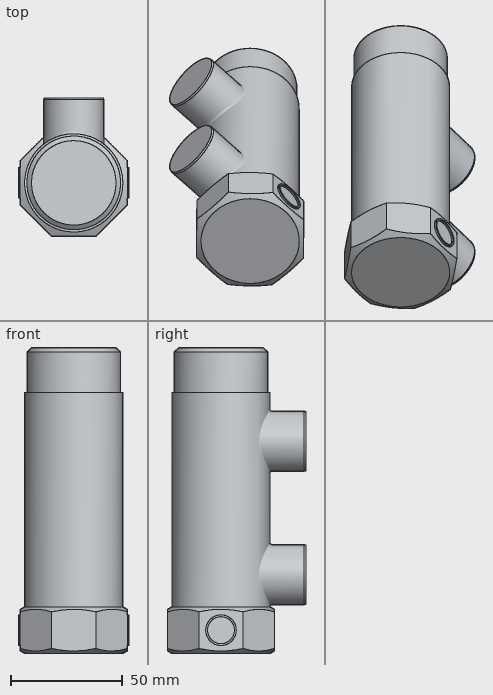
import cadquery as cq
import math

total_height = 137.0
barrel_diameter = 44.0
cap_diameter = 41.9
cap_height = 20.0
cap_chamfer_height = 1.9
cap_chamfer_width = 2.0

nut_sides = 8
nut_width = 48.0
nut_height = 21.0
nut_end_diameter = barrel_diameter
nut_cone_angle = 30.0

overall_depth = 62.0
outlet_diameter = 27.0
outlet_spacing = 59.7
lower_outlet_height = 35.3
outlet_heights = (lower_outlet_height, lower_outlet_height + outlet_spacing)
outlet_reach = overall_depth - nut_width / 2
outlet_chamfer_length = 0.8
outlet_chamfer_width = 0.3
outlet_root_fillet = 0.8

overall_width = 49.5
ring_outer_diameter = 13.7
ring_inner_diameter = 12.0
ring_height = nut_height / 2


def make_cap():
    """Cylinder with a chamfered top edge, closing the barrel."""
    return (
        cq.Workplane("XY")
        .workplane(offset=total_height - cap_height)
        .circle(cap_diameter / 2)
        .extrude(cap_height)
        .faces(">Z")
        .chamfer(cap_chamfer_height, cap_chamfer_width)
    )


def make_outlet(height):
    """Cylinder from the barrel axis to the outlet tip, chamfered at the tip."""
    return (
        cq.Workplane("XZ", origin=(0, 0, height))
        .circle(outlet_diameter / 2)
        .extrude(-outlet_reach)
        .faces(">Y")
        .chamfer(outlet_chamfer_length, outlet_chamfer_width)
    )


def make_barrel_with_outlets():
    """Barrel joined to both outlets, with a small fillet around each outlet root."""
    barrel = cq.Workplane("XY").circle(barrel_diameter / 2).extrude(total_height - cap_height)
    for height in outlet_heights:
        barrel = barrel.union(make_outlet(height))
    half_width = outlet_diameter / 2 + outlet_root_fillet
    for height in outlet_heights:
        root_zone = cq.selectors.BoxSelector(
            (-half_width, 0, height - half_width),
            (half_width, barrel_diameter / 2 + outlet_root_fillet, height + half_width),
            boundingbox=True,
        )
        barrel = barrel.edges(root_zone).fillet(outlet_root_fillet)
    return barrel


def make_nut():
    """Octagonal prism trimmed by a double cone, with flats square to X and Y."""
    half_side_angle = 180 / nut_sides
    corner_radius = nut_width / 2 / math.cos(math.radians(half_side_angle))
    prism = (
        cq.Workplane("XY")
        .transformed(rotate=(0, 0, half_side_angle))
        .polygon(nut_sides, 2 * corner_radius)
        .extrude(nut_height)
    )
    end_radius = nut_end_diameter / 2
    cone_height = (corner_radius - end_radius) * math.tan(math.radians(nut_cone_angle))
    envelope = (
        cq.Workplane("XZ")
        .lineTo(end_radius, 0)
        .lineTo(corner_radius, cone_height)
        .lineTo(corner_radius, nut_height - cone_height)
        .lineTo(end_radius, nut_height)
        .lineTo(0, nut_height)
        .close()
        .revolve(360, (0, 0), (0, 1))
    )
    return prism.intersect(envelope)


def make_raised_rings():
    """One ring standing proud of each X-facing flat, made as a tube through the nut."""
    return (
        cq.Workplane("YZ", origin=(0, 0, ring_height))
        .circle(ring_outer_diameter / 2)
        .circle(ring_inner_diameter / 2)
        .extrude(overall_width / 2, both=True)
    )


result = make_barrel_with_outlets().union(make_cap()).union(make_nut()).union(make_raised_rings())